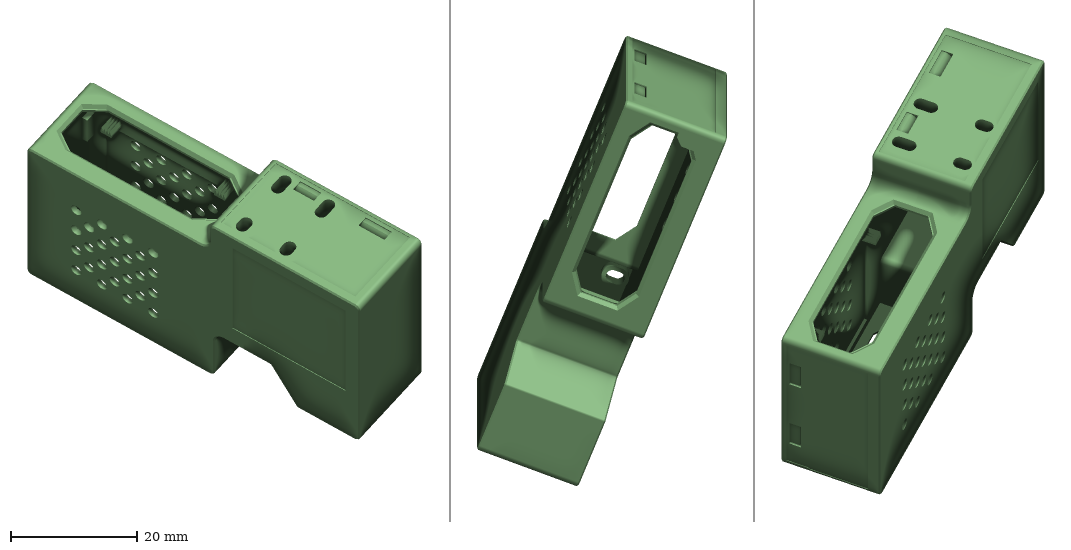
import cadquery as cq


LENGTH = 64.9
DEPTH = 17.2
HEIGHT = 37.2
LOW_TOP = 31.15
STEP_X = 35.7
LEG_X = 36.6
NOTCH_TOP = 10.7
SLOPE_TOP_X = 47.55
SLOPE_END_X = 52.7
TALL_BOTTOM = 3.65
CORNER_R = 1.0
STEP_R = 2.0
SLOPE_R = 0.4
EDGE_CHAMFER = 0.25

PROFILE = [
    (0, 0, CORNER_R),
    (LEG_X, 0, CORNER_R),
    (LEG_X, NOTCH_TOP, STEP_R),
    (SLOPE_TOP_X, NOTCH_TOP, SLOPE_R),
    (SLOPE_END_X, TALL_BOTTOM, SLOPE_R),
    (LENGTH, TALL_BOTTOM, CORNER_R),
    (LENGTH, HEIGHT, CORNER_R),
    (STEP_X, HEIGHT, CORNER_R),
    (STEP_X, LOW_TOP, STEP_R),
    (0, LOW_TOP, CORNER_R),
]

WALL = 1.0
FRONT_WALL = 1.0
BACK_WALL = 1.5
INNER_Y = DEPTH - BACK_WALL
SKIN = EDGE_CHAMFER
CUT_MARGIN = 5.0

OPENING_LEFT = 1.83
OPENING_RIGHT = 33.37
OPENING_FRONT = 3.3
OPENING_BACK = 14.7
OPENING_CUT_X = 3.4
OPENING_CUT_Y = 2.3
OPENING_CHAMFER = 0.55
OPENING_MID_X = (OPENING_LEFT + OPENING_RIGHT) / 2
OPENING_MID_Y = (OPENING_FRONT + OPENING_BACK) / 2

LEDGE_X = 3.85
LEDGE_Y = 7.55
LEDGE_CUT = 1.2

FLANGE_LEFT_Y = OPENING_BACK - OPENING_CUT_Y
FLANGE_RIGHT_Y = OPENING_MID_Y
FLANGE_STEP_TOP = 33.75
BOTTOM_FLANGE = 1.2

VENT_DIAMETER = 2.0
VENT_PITCH = 5.0
VENT_X = 9.7
VENT_Z = 7.45
VENT_COUNT = 4

LABEL_DEPTH = 0.1
FRONT_LABEL_X = (40.2, 62.2)
FRONT_LABEL_Z = (14.6, 34.6)
TOP_LABEL_X = (36.85, 63.0)
TOP_LABEL_Y = (1.55, 16.45)
SIDE_LABEL_Y = (2.05, 16.2)

SLOT_WIDTH = 2.15
SLOT_XS = (40.05, 48.55)
FRONT_SLOT_Y = (1.85, 4.9)
BACK_SLOT_Y = (11.45, 15.5)
COLLAR_WALL = 0.7
COLLAR_DEPTH = 3.0

WINDOW_Y = (13.75, 15.75)
TOP_WINDOWS_X = ((42.15, 46.2), (54.9, 59.95))
SIDE_WINDOWS_Z = ((5.6, 10.75), (20.5, 25.8))
TONGUE = 1.0
SNAP_CLEARANCE = 0.2
SNAP_HEIGHT = 0.7
SNAP_FLAT = 0.8

BOARD_X = (4.2, 30.5)
BOARD_Z = (2.5, 24.7)
BOARD_POCKET = 0.5
CLIP_XS = (5.2, 27.4)
CLIP_WIDTH = 2.1
CLIP_REACH = 2.85
CLIP_BOTTOM = 26.1
CLIP_VALLEY = 26.5
CLIP_PEAK = 27.5
CLIP_RIDGES = 4


def box(x, y, z):
    """Box spanning three (low, high) ranges."""
    return cq.Workplane("XY").box(
        x[1] - x[0], y[1] - y[0], z[1] - z[0], centered=False
    ).translate((x[0], y[0], z[0]))


def sharp_outline():
    """Profile of the enclosure before its corners are rounded."""
    return cq.Workplane("XZ").polyline([(x, z) for x, z, _ in PROFILE]).close()


def outer_block():
    """Solid block with rounded corners and chamfered front and back rims."""
    block = sharp_outline().extrude(-DEPTH)
    for x, z, radius in PROFILE:
        corner = cq.selectors.NearestToPointSelector((x, DEPTH / 2, z))
        block = block.edges("|Y").edges(corner).fillet(radius)
    return block.faces("<Y or >Y").chamfer(EDGE_CHAMFER)


def cavity(y_low, y_high):
    """Inside of the walls between two depths."""
    inside = sharp_outline().offset2D(-WALL).extrude(y_low - y_high)
    return inside.translate((0, y_low, 0))


def octagon(z, inset=0.0):
    """Outline of the opening at a height, drawn in by an inset."""
    half_x = (OPENING_RIGHT - OPENING_LEFT) / 2 - inset
    half_y = (OPENING_BACK - OPENING_FRONT) / 2 - inset
    flat_x = half_x - OPENING_CUT_X
    flat_y = half_y - OPENING_CUT_Y
    points = [
        (half_x, -flat_y), (half_x, flat_y), (flat_x, half_y), (-flat_x, half_y),
        (-half_x, flat_y), (-half_x, -flat_y), (-flat_x, -half_y), (flat_x, -half_y),
    ]
    plane = cq.Workplane("XY", origin=(OPENING_MID_X, OPENING_MID_Y, z))
    return plane.polyline(points).close()


def opening():
    """Octagonal well through the low section, flared at the top and bottom faces."""
    well = octagon(0, OPENING_CHAMFER).extrude(LOW_TOP)
    top_flare = octagon(LOW_TOP).extrude(-OPENING_CHAMFER, taper=45)
    bottom_flare = octagon(0).extrude(OPENING_CHAMFER, taper=45)
    return well.union(top_flare).union(bottom_flare)


def vents():
    """Square grid of holes with a second grid centred in its gaps."""
    half = VENT_PITCH / 2
    grid = [(VENT_X + i * VENT_PITCH, VENT_Z + j * VENT_PITCH)
            for i in range(VENT_COUNT) for j in range(VENT_COUNT)]
    between = [(VENT_X + half + i * VENT_PITCH, VENT_Z + half + j * VENT_PITCH)
               for i in range(VENT_COUNT - 1) for j in range(VENT_COUNT - 1)]
    plane = cq.Workplane("XZ").pushPoints(grid + between)
    return plane.circle(VENT_DIAMETER / 2).extrude(-DEPTH)


def slot_column(x, y, depth, grow=0.0):
    """Round-ended column reaching down from the top face, optionally larger all round."""
    plane = cq.Workplane("XY", origin=(x, (y[0] + y[1]) / 2, HEIGHT))
    return plane.slot2D(y[1] - y[0] + 2 * grow, SLOT_WIDTH + 2 * grow, 90).extrude(-depth)


def slot_collar(x, y):
    """Material below the top wall that lengthens a slot downward."""
    column = slot_column(x, y, COLLAR_DEPTH, COLLAR_WALL)
    return column.intersect(cavity(FRONT_WALL, INNER_Y))


def ledge():
    """Corner piece of the bottom wall that narrows the bottom opening."""
    block = box((OPENING_LEFT, LEDGE_X), (OPENING_FRONT, LEDGE_Y), (0, WALL))
    return block.edges("|Z and >X and >Y").chamfer(LEDGE_CUT)


def flanges():
    """Space of the lid's flanges, which meet the housing at the ends of the opening."""
    left_x = (-CUT_MARGIN, OPENING_MID_X)
    back = DEPTH + CUT_MARGIN
    roof = LOW_TOP - WALL
    space = box(left_x, (FLANGE_LEFT_Y, back), (-CUT_MARGIN, BOTTOM_FLANGE))
    space = space.union(box(left_x, (FLANGE_LEFT_Y, back), (roof, FLANGE_STEP_TOP)))
    foot_x = (OPENING_MID_X, LEG_X + CUT_MARGIN)
    space = space.union(box(foot_x, (FLANGE_RIGHT_Y, back), (-CUT_MARGIN, BOTTOM_FLANGE)))
    step_x = (OPENING_MID_X, STEP_X + WALL)
    return space.union(box(step_x, (FLANGE_RIGHT_Y, back), (roof, FLANGE_STEP_TOP)))


def top_snap(x):
    """Tongue under the top wall with a wedge that catches in a top window."""
    under = HEIGHT - WALL
    x_low = x[0]
    width = x[1] - x[0]
    y_low, y_high = WINDOW_Y
    points = [
        (y_high, under - TONGUE), (y_low, under - TONGUE), (y_low, under),
        (y_high - SNAP_FLAT, under + SNAP_HEIGHT), (y_high, under + SNAP_HEIGHT),
    ]
    return cq.Workplane("YZ", origin=(x_low, 0, 0)).polyline(points).close().extrude(width)


def side_snap(z):
    """Tongue inside the left wall with a flat catch in a side window."""
    y_low, y_high = WINDOW_Y
    tongue = box((WALL, WALL + TONGUE), WINDOW_Y, z)
    catch_z = (z[0] + SNAP_CLEARANCE, z[1] - SNAP_CLEARANCE)
    catch = box((WALL - SNAP_HEIGHT, WALL), (y_low + SNAP_CLEARANCE, y_high), catch_z)
    return tongue.union(catch)


def board_clip(x):
    """Bar on the inside of the lid with sharp ridges along its top."""
    pitch = CLIP_WIDTH / CLIP_RIDGES
    points = [(x + CLIP_WIDTH, CLIP_BOTTOM), (x, CLIP_BOTTOM), (x, CLIP_VALLEY)]
    for i in range(CLIP_RIDGES):
        points.append((x + (i + 0.5) * pitch, CLIP_PEAK))
        points.append((x + (i + 1) * pitch, CLIP_VALLEY))
    plane = cq.Workplane("XZ", origin=(0, INNER_Y, 0))
    return plane.polyline(points).close().extrude(CLIP_REACH)


shell = outer_block().cut(cavity(FRONT_WALL, INNER_Y)).cut(opening())
lid_space = box(
    (-CUT_MARGIN, LENGTH + CUT_MARGIN),
    (DEPTH - SKIN, DEPTH + CUT_MARGIN),
    (-CUT_MARGIN, HEIGHT + CUT_MARGIN),
).union(cavity(INNER_Y, DEPTH)).union(flanges())

housing = shell.cut(lid_space).union(ledge()).cut(vents())
housing = housing.cut(box(FRONT_LABEL_X, (0, LABEL_DEPTH), FRONT_LABEL_Z))
housing = housing.cut(box(TOP_LABEL_X, TOP_LABEL_Y, (HEIGHT - LABEL_DEPTH, HEIGHT)))
housing = housing.cut(box((0, LABEL_DEPTH), SIDE_LABEL_Y, (CORNER_R, LOW_TOP - CORNER_R)))
for slot_x in SLOT_XS:
    for slot_y in (FRONT_SLOT_Y, BACK_SLOT_Y):
        housing = housing.union(slot_collar(slot_x, slot_y))
        housing = housing.cut(slot_column(slot_x, slot_y, COLLAR_DEPTH))
for window_x in TOP_WINDOWS_X:
    housing = housing.cut(box(window_x, WINDOW_Y, (HEIGHT - WALL, HEIGHT)))
for window_z in SIDE_WINDOWS_Z:
    housing = housing.cut(box((0, WALL), WINDOW_Y, window_z))

lid = shell.intersect(lid_space).cut(box(BOARD_X, (INNER_Y, INNER_Y + BOARD_POCKET), BOARD_Z))
lid = lid.cut(vents())
for window_x in TOP_WINDOWS_X:
    lid = lid.union(top_snap(window_x))
for window_z in SIDE_WINDOWS_Z:
    lid = lid.union(side_snap(window_z))
for clip_x in CLIP_XS:
    lid = lid.union(board_clip(clip_x))

result = cq.Compound.makeCompound([housing.solids().val(), lid.solids().val()])